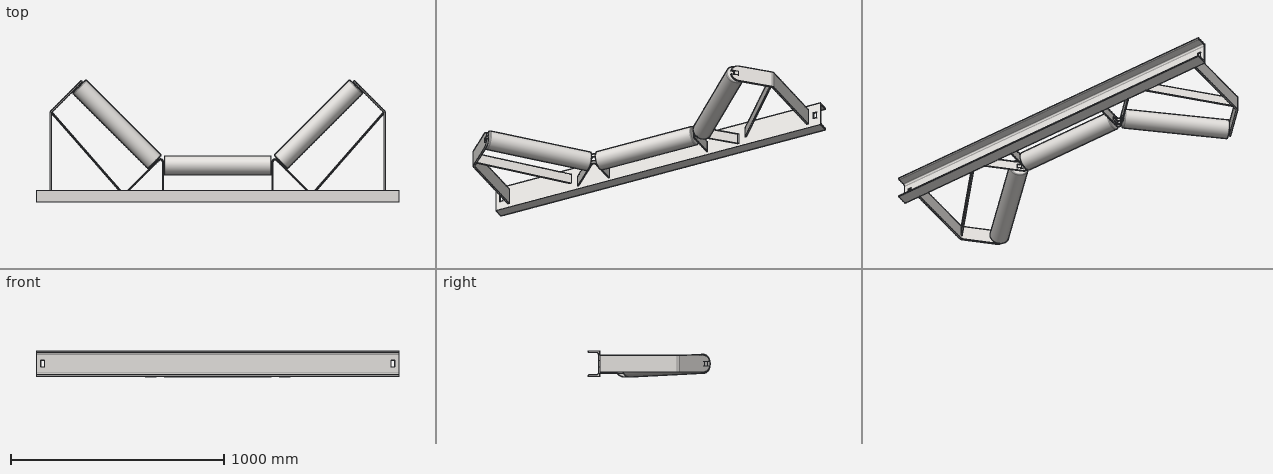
import cadquery as cq
import math


beam_length = 1700.0
beam_middle_z = 0.0
beam_height = 120.0
flange_width = 55.0
web_thickness = 7.0
flange_thickness = 8.0
root_radius = 8.0
toe_radius = 4.2
slot_end_distance = 29.0
mount_slot_width = 17.0
mount_slot_height = 30.0

roller_diameter = 90.0
roller_length = 500.0
rim_radius = 3.0
tang_size = 20.0
center_axis_y = 117.0
low_axis_z = -19.0
trough_angle = math.radians(45)
tilt_angle = math.radians(2.1)
wing_end_x = -295.0
wing_end_y = 135.0

center_gap = 5.0
wing_gap = 5.0
bend_radius = 14.0
inner_thickness = 5.0
inner_width = 53.0
outer_thickness = 8.0
outer_width = 80.0
outer_leg_x = -787.0
tip_radius = 39.0
slot_reach = 85.0
tip_overhang = 27.0
strut_thickness = 7.0
strut_width = 50.0
strut_foot_x = -459.0
strut_top_z = 30.0

wing_axis = cq.Vector(
    -math.cos(tilt_angle) * math.cos(trough_angle),
    math.cos(tilt_angle) * math.sin(trough_angle),
    math.sin(tilt_angle),
)
wing_open = cq.Vector(math.sin(trough_angle), math.cos(trough_angle), 0)
wing_outward = cq.Vector(-math.cos(trough_angle), math.sin(trough_angle), 0)

center_frame = cq.Plane((-roller_length / 2, center_axis_y, low_axis_z), (0, -1, 0), (1, 0, 0))
wing_frame = cq.Plane((wing_end_x, wing_end_y, low_axis_z), -wing_open, wing_axis)


def at_x(base, x):
    """Point at the given X on the line through base along the sloping legs."""
    return base + wing_open * ((x - base.x) / wing_open.x)


def at_y(base, y):
    """Point at the given Y on the line through base along the sloping legs."""
    return base + wing_open * ((y - base.y) / wing_open.y)


wing_top = cq.Vector(wing_end_x, wing_end_y, 0) + wing_outward * (roller_length * math.cos(tilt_angle))
outer_leg_inside = wing_top + wing_outward * wing_gap
outer_leg_outside = outer_leg_inside + wing_outward * outer_thickness
outer_inside_x = outer_leg_x + outer_thickness
outer_inside_corner = at_x(outer_leg_inside, outer_inside_x)


def make_beam():
    """Channel with rounded roots and toes and a mounting slot near each end."""
    clear_height = beam_height - 2 * flange_thickness
    block = cq.Workplane("XY").box(beam_length, flange_width, beam_height)
    block = block.translate((0, -flange_width / 2, 0))
    hollow = cq.Workplane("XY").box(beam_length, flange_width, clear_height)
    hollow = hollow.edges("|X and >Y").fillet(root_radius)
    hollow = hollow.translate((0, -flange_width / 2 - web_thickness, 0))
    beam = block.cut(hollow)
    toes = cq.selectors.BoxSelector(
        (-beam_length, -2 * flange_width, -clear_height / 2 - toe_radius),
        (beam_length, -flange_width / 2, clear_height / 2 + toe_radius),
    )
    beam = beam.edges("|X").edges(toes).fillet(toe_radius)
    slot_x = beam_length / 2 - slot_end_distance
    slots = (
        cq.Workplane("XZ")
        .pushPoints([(-slot_x, 0), (slot_x, 0)])
        .rect(mount_slot_width, mount_slot_height)
        .extrude(flange_width)
    )
    return beam.cut(slots)


def make_roller(frame, inner_tang, outer_tang):
    """Drum with rounded rims and a square tang at each end."""
    drum = cq.Workplane(frame).circle(roller_diameter / 2).extrude(roller_length).edges().fillet(rim_radius)
    shaft_length = inner_tang + roller_length + outer_tang
    shaft = cq.Workplane(frame).workplane(offset=-inner_tang).rect(tang_size, tang_size).extrude(shaft_length)
    return drum.union(shaft)


def tang_slot(frame, start, depth):
    """Cutter as wide as the tang, running from its far side out through the bracket's free edge."""
    return (
        cq.Workplane(frame)
        .workplane(offset=start)
        .center((tang_size - slot_reach) / 2, 0)
        .rect(slot_reach, tang_size)
        .extrude(depth)
    )


def bent_bar(outer_face, inner_face, thickness, width, middle_z):
    """Flat bar bent once; each face is its start, bend corner and end."""
    outline = [(point.x, point.y) for point in outer_face + inner_face[::-1]]
    bar = cq.Workplane("XY", origin=(0, 0, middle_z - width / 2)).polyline(outline).close().extrude(width)
    for corner, radius in ((outer_face[1], bend_radius), (inner_face[1], bend_radius - thickness)):
        bar = bar.edges(cq.selectors.NearestToPointSelector((corner.x, corner.y, middle_z))).fillet(radius)
    return bar


def make_inner_bracket():
    """Upright beside the central roller, bent over into the leg under the wing roller's inner end."""
    right_x = -roller_length / 2 - center_gap
    left_x = right_x - inner_thickness
    upper = cq.Vector(wing_end_x, wing_end_y, 0) - wing_outward * wing_gap
    lower = upper - wing_outward * inner_thickness
    bracket = bent_bar(
        [cq.Vector(right_x, 0, 0), at_x(upper, right_x), at_y(upper, 0)],
        [cq.Vector(left_x, 0, 0), at_x(lower, left_x), at_y(lower, 0)],
        inner_thickness,
        inner_width,
        low_axis_z,
    )
    for frame, gap in ((center_frame, center_gap), (wing_frame, wing_gap)):
        depth = gap + inner_thickness + bend_radius
        bracket = bracket.cut(tang_slot(frame, -depth, depth))
    return bracket


def make_outer_bracket():
    """Outer upright, bent inward into a leg whose round tip carries the wing roller's outer end."""
    overhang = wing_open * tip_overhang
    bracket = bent_bar(
        [cq.Vector(outer_leg_x, 0, 0), at_x(outer_leg_outside, outer_leg_x), outer_leg_outside + overhang],
        [cq.Vector(outer_inside_x, 0, 0), outer_inside_corner, outer_leg_inside + overhang],
        outer_thickness,
        outer_width,
        beam_middle_z,
    )
    tip = bracket.faces(cq.selectors.DirectionMinMaxSelector(wing_open, True))
    bracket = tip.edges(cq.selectors.ParallelDirSelector(wing_outward)).fillet(tip_radius)
    return bracket.cut(tang_slot(wing_frame, roller_length, wing_gap + 2 * outer_thickness))


def make_strut(outer_bracket):
    """Brace from inside the outer bracket's bend down to the beam, cut to fit both."""
    run = strut_foot_x - outer_inside_corner.x
    rise = outer_inside_corner.y
    slope = math.atan2(rise, run)
    half_foot = strut_thickness / 2 / math.sin(slope)
    half_top = cq.Vector(math.sin(slope), math.cos(slope), 0) * (strut_thickness / 2)
    upper_top = outer_inside_corner + half_top
    lower_top = outer_inside_corner - half_top
    outline = [
        (strut_foot_x - half_foot, 0),
        (strut_foot_x + half_foot, 0),
        (upper_top.x, upper_top.y),
        (lower_top.x, lower_top.y),
    ]
    bar = cq.Workplane("XY", origin=(0, 0, strut_top_z)).polyline(outline).close().extrude(-strut_width)
    return bar.cut(outer_bracket)


beam = make_beam()
center_tang = center_gap + inner_thickness
center_roller = make_roller(center_frame, center_tang, center_tang)

outer_bracket = make_outer_bracket()

left_bodies = [
    make_roller(wing_frame, wing_gap + inner_thickness, wing_gap + outer_thickness),
    make_inner_bracket(),
    outer_bracket,
    make_strut(outer_bracket),
]
wing_bodies = []
for left_body in left_bodies:
    wing_bodies.append(left_body.val())
    wing_bodies.append(left_body.mirror("YZ").val())

result = cq.Compound.makeCompound([beam.val(), center_roller.val(), *wing_bodies])